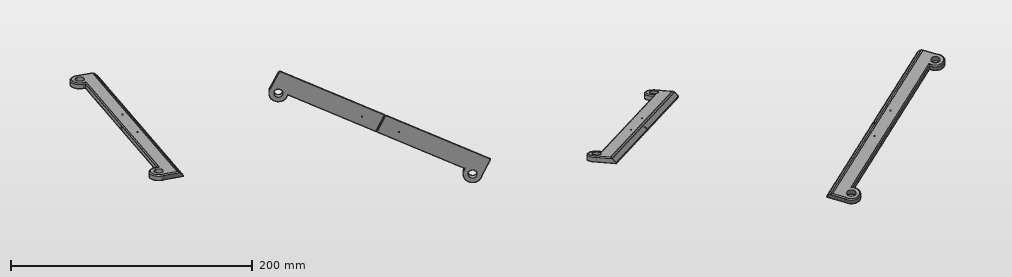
import cadquery as cq
import math

length = 193.8
depth = 27.0
thickness = 5.0

bar_depth = 17.0
back_land = 1.0
bevel = thickness - back_land
edge_chamfer = 1.0

ear_radius = 8.0
ear_hole_diameter = 7.5

pin_hole_diameter = 1.0
pin_hole_spacing = 34.0
pin_hole_setback = 9.3
groove_width = 1.0
groove_height = 3.0

ear_x = length / 2 - ear_radius
ear_y = ear_radius
bar_front_y = depth - bar_depth

bar_half_length = ear_x + math.sqrt(ear_radius**2 - (bar_front_y - ear_y) ** 2)


def make_bar():
    """Straight bar with the bevelled back edge."""
    return (
        cq.Workplane("YZ")
        .moveTo(bar_front_y, 0)
        .lineTo(depth, 0)
        .lineTo(depth, back_land)
        .lineTo(depth - bevel, thickness)
        .lineTo(bar_front_y, thickness)
        .close()
        .extrude(bar_half_length, both=True)
    )


def vertical_cylinders(points, diameter):
    """Full-thickness cylinders standing on the bottom face."""
    return cq.Workplane("XY").pushPoints(points).circle(diameter / 2).extrude(thickness)


def make_groove():
    """Round-topped groove across the underside at mid-length."""
    radius = groove_width / 2
    spring_height = groove_height - radius
    return (
        cq.Workplane("XZ")
        .moveTo(-radius, 0)
        .lineTo(-radius, spring_height)
        .threePointArc((0, groove_height), (radius, spring_height))
        .lineTo(radius, 0)
        .close()
        .extrude(-depth)
    )


ear_centers = [(-ear_x, ear_y), (ear_x, ear_y)]
pin_y = depth - pin_hole_setback
pin_centers = [(-pin_hole_spacing / 2, pin_y), (pin_hole_spacing / 2, pin_y)]

body = make_bar().union(vertical_cylinders(ear_centers, 2 * ear_radius))

body = body.faces(">Z").edges().chamfer(edge_chamfer)

result = (
    body.cut(vertical_cylinders(ear_centers, ear_hole_diameter))
    .cut(vertical_cylinders(pin_centers, pin_hole_diameter))
    .cut(make_groove())
)